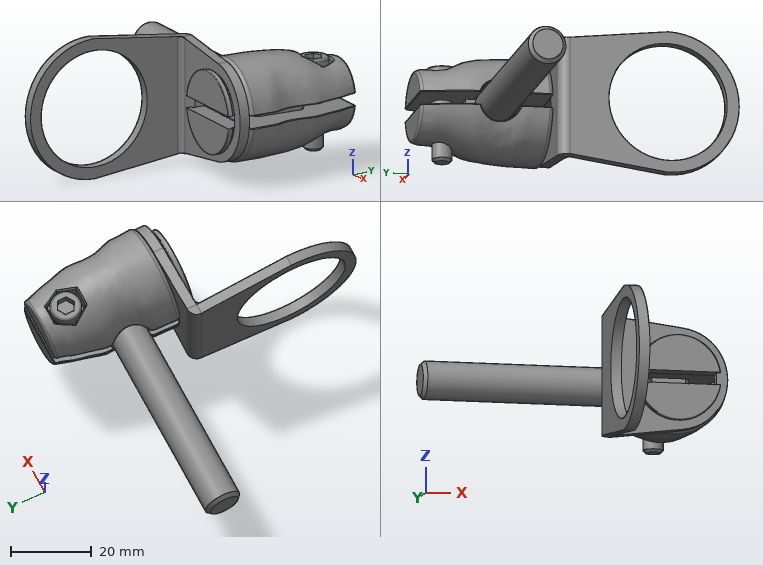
import cadquery as cq
import math

OVERALL_LENGTH = 78.45

BODY_LENGTH = 32.7
BODY_RADIUS = 13.25
BODY_SECTIONS = [
    (0.0, BODY_RADIUS, BODY_RADIUS),
    (3.1, BODY_RADIUS, BODY_RADIUS),
    (5.9, 13.2, BODY_RADIUS),
    (7.85, 12.95, BODY_RADIUS),
    (9.6, 12.3, BODY_RADIUS),
    (11.5, 11.7, 13.2),
    (14.75, 11.45, 12.95),
    (18.4, 11.85, 12.4),
    (21.7, 11.45, 11.3),
    (25.3, 10.6, 9.9),
    (29.1, 9.6, 9.3),
    (BODY_LENGTH, 8.7, 8.7),
]
SEAT_EDGE_FILLET = 1.0
END_EDGE_FILLET = 0.8
SLOT_WIDTH = 3.1
SLOT_EDGE_BREAK = 0.2
SHORTEST_FLANK = 4.7

SHEET = 2.7
BEND_INNER_RADIUS = 1.3
BEND_HALF_WIDTH = 15.0
SEAT_TIP_RADIUS = 12.8
RING_PLATE_X = -19.0
RING_RADIUS = 36.2 / 2
RING_HOLE_DIAMETER = 30.05
RING_CENTER_Y = BODY_LENGTH - OVERALL_LENGTH + RING_RADIUS

NECK_RADIUS = 10.0
BUTTON_RADIUS = 10.7
BUTTON_GAP = 0.7
BUTTON_HEIGHT = 1.4
BUTTON_EDGE_FILLET = 0.15

ROD_Y = 13.2
ROD_DIAMETER = 9.6
ROD_END_X = -61.6
ROD_CHAMFER = 0.95
COLLAR_DIAMETER = 14.5
COLLAR_START_X = -4.5
COLLAR_END_X = 4.95
ROD_HOLE_DIAMETER = 10.35
ROD_HOLE_EDGE_BREAK = 0.3

SCREW_Y = 25.3
SCREW_DIAMETER = 5.0
SCREW_TIP_Z = -13.9
SCREW_TIP_CHAMFER = 0.7
HEAD_DIAMETER = 7.85
HEAD_TOP_Z = 10.05
HEAD_FILLET = 0.4
SOCKET_FLATS = 4.1
SOCKET_DEPTH = 2.35
POCKET_FLATS = 8.4
POCKET_FLOOR_Z = 7.05
POCKET_EDGE_BREAK = 0.4


def cylinder_y(radius, start, end):
    """Solid cylinder on the Y axis."""
    return cq.Workplane("XZ", origin=(0, start, 0)).circle(radius).extrude(start - end)


def cylinder_x(diameter, start, end):
    """Solid cylinder along X on the rod axis."""
    return cq.Workplane("YZ", origin=(start, ROD_Y, 0)).circle(diameter / 2).extrude(end - start)


def screw_plane(z):
    return cq.Workplane("XY", origin=(0, SCREW_Y, z))


def hexagon_corners(flats):
    return flats / math.cos(math.pi / 6)


def half_ellipses(plane, half_width, half_height):
    """Ellipse joined from two halves at Z = 0, which keeps the seams of the body inside the slot."""
    return (
        plane.moveTo(half_width, 0)
        .ellipseArc(half_width, half_height, 0, 180)
        .ellipseArc(half_width, half_height, 180, 360)
        .wire()
    )


def make_body():
    plane = cq.Workplane("XZ")
    previous_y = 0.0
    for y, half_width, half_height in BODY_SECTIONS:
        plane = half_ellipses(plane.workplane(offset=previous_y - y), half_width, half_height)
        previous_y = y
    body = plane.loft(ruled=False, combine=True)
    body = body.faces("<Y").edges().fillet(SEAT_EDGE_FILLET)
    return body.faces(">Y").edges().fillet(END_EDGE_FILLET)


def make_button():
    head_top = -SHEET - BUTTON_GAP
    head = cylinder_y(BUTTON_RADIUS, head_top - BUTTON_HEIGHT, head_top)
    head = head.edges().fillet(BUTTON_EDGE_FILLET)
    return head.union(cylinder_y(NECK_RADIUS, head_top, 0))


def cut_slot(solid):
    slot = cq.Workplane("XY").box(3 * BODY_RADIUS, 2 * OVERALL_LENGTH, SLOT_WIDTH)
    return solid.cut(slot)


def break_slot_flanks(body):
    """Chamfer the long edges where the slot meets the curved sides of the body."""
    flanks = (
        body.faces("|Z")
        .edges("%BSPLINE")
        .filter(lambda edge: edge.Length() > SHORTEST_FLANK)
        .filter(lambda edge: abs(edge.Center().z) < SLOT_WIDTH)
    )
    return flanks.chamfer(SLOT_EDGE_BREAK)


def cut_rod_hole(body):
    hole = cylinder_x(ROD_HOLE_DIAMETER, -2 * BODY_RADIUS, COLLAR_START_X)
    body = body.cut(hole)
    reach = ROD_HOLE_DIAMETER / 2
    rim = cq.selectors.BoxSelector(
        (-BODY_RADIUS, ROD_Y - reach, -reach),
        (-2 * reach, ROD_Y + reach, reach),
    )
    return body.edges(rim).chamfer(ROD_HOLE_EDGE_BREAK)


def cut_screw_pocket(body):
    pocket = screw_plane(POCKET_FLOOR_Z).polygon(6, hexagon_corners(POCKET_FLATS)).extrude(BODY_RADIUS)
    body = body.cut(pocket)
    reach = hexagon_corners(POCKET_FLATS) / 2
    above_floor = POCKET_FLOOR_Z + POCKET_EDGE_BREAK
    rim = cq.selectors.BoxSelector(
        (-reach, SCREW_Y - reach, above_floor),
        (reach, SCREW_Y + reach, BODY_RADIUS),
    )
    return body.edges(rim).edges("not |Z").chamfer(POCKET_EDGE_BREAK)


def tangent_angle(center, bend_inner, radius):
    """Angle around the tip centre, from the tip, where the tapering side meets the arc tangentially."""
    reach = abs(center - bend_inner)
    distance = math.hypot(reach, BEND_HALF_WIDTH)
    return math.atan2(BEND_HALF_WIDTH, -reach) - math.acos(radius / distance)


def plate_outline(plane, bend, bend_inner, center, radius, arc_angle):
    """Plate that is straight across the bend and then runs in two slanted sides to a round tip."""
    direction = math.copysign(1, center - bend_inner)
    arc_start = center + direction * radius * math.cos(arc_angle)
    arc_half_width = radius * math.sin(arc_angle)
    return (
        plane.moveTo(bend, -BEND_HALF_WIDTH)
        .lineTo(bend_inner, -BEND_HALF_WIDTH)
        .lineTo(arc_start, -arc_half_width)
        .threePointArc((center + direction * radius, 0), (arc_start, arc_half_width))
        .lineTo(bend_inner, BEND_HALF_WIDTH)
        .lineTo(bend, BEND_HALF_WIDTH)
        .close()
    )


def make_bracket():
    inner_x = RING_PLATE_X + SHEET
    seat_angle = tangent_angle(0, inner_x, SEAT_TIP_RADIUS)
    seat_plane = cq.Workplane("XZ")
    seat = plate_outline(seat_plane, RING_PLATE_X, inner_x, 0, SEAT_TIP_RADIUS, seat_angle).extrude(SHEET)

    ring_angle = math.pi / 2
    ring_plane = cq.Workplane("YZ", origin=(RING_PLATE_X, 0, 0))
    ring = plate_outline(ring_plane, 0, -SHEET, RING_CENTER_Y, RING_RADIUS, ring_angle).extrude(SHEET)
    ring_hole = (
        cq.Workplane("YZ", origin=(RING_PLATE_X, RING_CENTER_Y, 0))
        .circle(RING_HOLE_DIAMETER / 2)
        .extrude(SHEET)
    )
    bracket = seat.union(ring).clean().cut(ring_hole)

    outer_corner = cq.selectors.NearestToPointSelector((RING_PLATE_X, 0, 0))
    bracket = bracket.edges(outer_corner).fillet(SHEET)
    bend_fill = (
        cq.Workplane("XY", origin=(inner_x, -SHEET, -BEND_HALF_WIDTH))
        .lineTo(BEND_INNER_RADIUS, 0)
        .radiusArc((0, -BEND_INNER_RADIUS), -BEND_INNER_RADIUS)
        .close()
        .extrude(2 * BEND_HALF_WIDTH)
    )
    return bracket.union(bend_fill).cut(cylinder_y(NECK_RADIUS, -SHEET, 0))


def make_rod():
    rod = cylinder_x(ROD_DIAMETER, ROD_END_X, COLLAR_START_X).faces("<X").chamfer(ROD_CHAMFER)
    collar = cylinder_x(COLLAR_DIAMETER, COLLAR_START_X, COLLAR_END_X).faces(">X").chamfer(ROD_CHAMFER)
    return rod.union(collar)


def make_screw():
    shank = screw_plane(SCREW_TIP_Z).circle(SCREW_DIAMETER / 2).extrude(POCKET_FLOOR_Z - SCREW_TIP_Z)
    shank = shank.faces("<Z").chamfer(SCREW_TIP_CHAMFER)
    head = screw_plane(POCKET_FLOOR_Z).circle(HEAD_DIAMETER / 2).extrude(HEAD_TOP_Z - POCKET_FLOOR_Z)
    head = head.faces(">Z").edges().fillet(HEAD_FILLET)
    socket = (
        screw_plane(HEAD_TOP_Z - SOCKET_DEPTH)
        .polygon(6, hexagon_corners(SOCKET_FLATS))
        .extrude(SOCKET_DEPTH)
        .rotate((0, SCREW_Y, 0), (0, SCREW_Y, 1), 30)
    )
    return shank.union(head).cut(socket)


body = break_slot_flanks(cut_slot(cut_rod_hole(make_body())))
body = cut_screw_pocket(body)
button = cut_slot(make_button())
result = body.union(button).union(make_bracket()).union(make_rod()).union(make_screw())